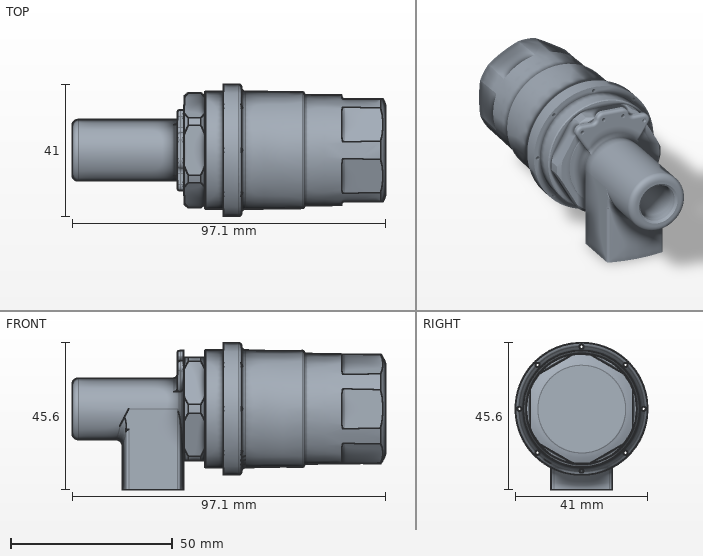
import cadquery as cq
import math

block_front = 15.5
collar_front = 34.5
nut_front = 34.8
ring_front = 41.0
flange_front = 46.8
flange_back = 52.4
shoulder_start = 71.2
flat_start = 83.5
overall_length = 97.1

tube_radius = 19.0 / 2
tube_rim_round = 1.9
bore_diameter = 11.8
bore_chamfer = 0.7
collar_radius = 28.0 / 2
root_flare = 1.5
block_flare = 1.9
block_flare_side_z = -7.6

block_bottom = -25.1
block_bulge = 1.0
block_corner = 1.0
block_middle = (block_front + collar_front) / 2

plate_front = 32.5
plate_flare = 1.2
plate_edge_round = 0.9
plate_foot_z = 3.9
wire_hole_diameter = 1.3
inner_lug_y, inner_lug_z, inner_lug_radius = 3.3, 15.8, 2.2
outer_lug_y, outer_lug_z, outer_lug_radius = 10.6, 12.9, 1.9
step_start_y = 7.1
side_lean = 33.0

nut_across_flats = 32.0
nut_corner_radius = 17.8
nut_chamfer_length = 1.2
nut_chamfer_depth = 1.0

ring_radius = 36.5 / 2
ring_chamfer = 0.3
flange_radius = 41.0 / 2
flange_round = 1.1
flange_fillet = 1.1
shoulder_radius = 18.1
shoulder_round = 0.6
grip_radius = 17.2
grip_end_radius = 17.0
end_round_length = 1.65
end_round_bulge = 0.2
end_face_radius = 13.6
flange_hole_count = 8
flange_hole_circle_radius = 19.2
flat_count = 6
flat_distance = 15.9
flat_wall_round = 0.5

diagonal = math.sqrt(0.5)


def turned(profile):
    """Revolve a profile, drawn as (x, radius), about the X axis."""
    return profile.close().revolve(360, (0, 0, 0), (1, 0, 0))


def x_cylinder(start, end, radius):
    return cq.Workplane("YZ", origin=(start, 0, 0)).circle(radius).extrude(end - start)


def flare(face_x, size):
    """Trumpet-shaped ring that blends the tube into a face square to X."""
    return turned(
        cq.Workplane("XY")
        .moveTo(face_x - size, tube_radius - size)
        .lineTo(face_x - size, tube_radius)
        .threePointArc(
            (face_x - size + size * diagonal, tube_radius + size - size * diagonal),
            (face_x, tube_radius + size),
        )
        .lineTo(face_x, tube_radius - size)
    )


def block_flare_shape():
    """Concave round between the tube and the bulged front of the block, below the axis."""
    half_chord = tube_radius - block_corner
    bulge_radius = (half_chord**2 + block_bulge**2) / (2 * block_bulge)
    reach = tube_radius + block_flare
    drum = (
        cq.Workplane("XY", origin=(block_front + bulge_radius, 0, -2 * reach))
        .circle(bulge_radius)
        .extrude(4 * reach)
    )
    joint = cq.selectors.BoxSelector(
        (block_front - block_flare, -reach, -reach), (block_middle, reach, reach), boundingbox=True
    )
    flared = x_cylinder(0, block_middle, tube_radius).union(drum).edges(joint).fillet(block_flare)
    zone = (
        cq.Workplane("XZ", origin=(0, tube_radius, 0))
        .moveTo(block_front + block_bulge + block_corner, 0)
        .lineTo(block_front - block_flare, block_flare_side_z)
        .lineTo(block_front - block_flare, -reach)
        .lineTo(block_front + block_bulge + block_corner, -reach)
        .close()
        .extrude(2 * tube_radius)
    )
    return flared.intersect(zone).intersect(x_cylinder(0, block_middle, reach))


def block_outline():
    """Plan of the outlet block: flat sides, bulged front and back, rounded corners."""
    side = tube_radius
    bulge_y = side - block_corner
    half_length = (collar_front - block_front) / 2
    bulge_edge = half_length - block_bulge
    side_end = bulge_edge - block_corner
    corner_x = side_end + block_corner * diagonal
    corner_y = bulge_y + block_corner * diagonal
    return (
        cq.Workplane("XY", origin=(block_middle, 0, 0))
        .moveTo(-side_end, side)
        .lineTo(side_end, side)
        .threePointArc((corner_x, corner_y), (bulge_edge, bulge_y))
        .threePointArc((half_length, 0), (bulge_edge, -bulge_y))
        .threePointArc((corner_x, -corner_y), (side_end, -side))
        .lineTo(-side_end, -side)
        .threePointArc((-corner_x, -corner_y), (-bulge_edge, -bulge_y))
        .threePointArc((-half_length, 0), (-bulge_edge, bulge_y))
        .threePointArc((-corner_x, corner_y), (-side_end, side))
        .close()
    )


def point_on_arc(center_y, center_z, radius, angle):
    return (center_y + radius * math.cos(angle), center_z + radius * math.sin(angle))


def plate_outline(start_x):
    """Fan-shaped outline of the lug plate, symmetric about y = 0."""
    lean = math.radians(side_lean)
    top_z = inner_lug_z + inner_lug_radius
    step_z = outer_lug_z + outer_lug_radius

    run = step_start_y - inner_lug_y
    drop = inner_lug_z - step_z
    hollow_radius = (run**2 + drop**2 - inner_lug_radius**2) / (2 * (inner_lug_radius + drop))
    hollow_z = step_z + hollow_radius
    tangent_angle = math.atan2(hollow_z - inner_lug_z, run)
    lug_middle_angle = (tangent_angle + math.pi / 2) / 2
    hollow_middle_angle = (tangent_angle + math.pi + 1.5 * math.pi) / 2

    inner_middle = point_on_arc(inner_lug_y, inner_lug_z, inner_lug_radius, lug_middle_angle)
    inner_end = point_on_arc(inner_lug_y, inner_lug_z, inner_lug_radius, tangent_angle)
    hollow_middle = point_on_arc(step_start_y, hollow_z, hollow_radius, hollow_middle_angle)
    outer_middle = point_on_arc(outer_lug_y, outer_lug_z, outer_lug_radius, (math.pi / 2 - lean) / 2)
    side_top = point_on_arc(outer_lug_y, outer_lug_z, outer_lug_radius, -lean)
    foot_y = side_top[0] - (side_top[1] - plate_foot_z) * math.tan(lean)

    def mirrored(point):
        return (-point[0], point[1])

    return (
        cq.Workplane("YZ", origin=(start_x, 0, 0))
        .moveTo(-inner_lug_y, top_z)
        .lineTo(inner_lug_y, top_z)
        .threePointArc(inner_middle, inner_end)
        .threePointArc(hollow_middle, (step_start_y, step_z))
        .lineTo(outer_lug_y, step_z)
        .threePointArc(outer_middle, side_top)
        .lineTo(foot_y, plate_foot_z)
        .lineTo(-foot_y, plate_foot_z)
        .lineTo(*mirrored(side_top))
        .threePointArc(mirrored(outer_middle), (-outer_lug_y, step_z))
        .lineTo(-step_start_y, step_z)
        .threePointArc(mirrored(hollow_middle), mirrored(inner_end))
        .threePointArc(mirrored(inner_middle), (-inner_lug_y, top_z))
        .close()
    )


def make_lug_plate():
    thickness = collar_front - plate_front
    plate = plate_outline(plate_front).extrude(thickness).faces("<X").edges().fillet(plate_edge_round)
    hole_places = [
        (side * y, z)
        for side in (-1, 1)
        for y, z in ((inner_lug_y, inner_lug_z), (outer_lug_y, outer_lug_z))
    ]
    holes = (
        cq.Workplane("YZ", origin=(plate_front, 0, 0))
        .pushPoints(hole_places)
        .circle(wire_hole_diameter / 2)
        .extrude(thickness)
    )
    root = flare(plate_front, plate_flare)
    root = root.intersect(plate_outline(plate_front - plate_flare).extrude(plate_flare))
    return plate.cut(holes).union(root)


def make_spigot():
    """Hose spigot with its collar, outlet block and lug plate."""
    tube = x_cylinder(0, collar_front, tube_radius).faces("<X").edges().fillet(tube_rim_round)
    block = block_outline().extrude(block_bottom)
    spigot = tube.union(block).union(block_flare_shape())
    collar = x_cylinder(collar_front, nut_front, collar_radius)
    spigot = spigot.union(collar).union(flare(collar_front, root_flare)).union(make_lug_plate())
    bore = x_cylinder(0, block_middle, bore_diameter / 2)
    spigot = spigot.cut(bore)
    bore_rim = cq.selectors.RadiusNthSelector(0)
    return spigot.faces("<X").edges(bore_rim).chamfer(bore_chamfer)


def make_nut():
    """Hexagon nut with flats facing up and down and both ends chamfered."""
    length = ring_front - nut_front
    corner_diameter = nut_across_flats / math.cos(math.pi / 6)
    hexagon = cq.Workplane("YZ", origin=(nut_front, 0, 0)).polygon(6, corner_diameter).extrude(length)
    turned_blank = (
        x_cylinder(nut_front, ring_front, nut_corner_radius)
        .faces("<X or >X")
        .edges()
        .chamfer(nut_chamfer_length, nut_chamfer_depth)
    )
    return hexagon.intersect(turned_blank)


def housing_blank():
    """Housing as turned, before the holes and wrench flats are cut."""
    flange_fillet_end = flange_back + flange_fillet
    grip_start = shoulder_start + 2 * shoulder_round
    round_start = overall_length - end_round_length
    shoulder_step = shoulder_round * diagonal
    shoulder_middle = (shoulder_start + shoulder_round, (shoulder_radius + grip_radius) / 2)
    shoulder_drop = (shoulder_radius - grip_radius) / 2
    drop_step = shoulder_drop * diagonal
    end_drop = grip_end_radius - end_face_radius
    end_chord = math.hypot(end_round_length, end_drop)
    return turned(
        cq.Workplane("XY")
        .moveTo(ring_front, 0)
        .lineTo(ring_front, ring_radius - ring_chamfer)
        .lineTo(ring_front + ring_chamfer, ring_radius)
        .lineTo(flange_front, ring_radius)
        .lineTo(flange_front, flange_radius)
        .lineTo(flange_back - flange_round, flange_radius)
        .threePointArc(
            (flange_back - flange_round * (1 - diagonal), flange_radius - flange_round * (1 - diagonal)),
            (flange_back, flange_radius - flange_round),
        )
        .lineTo(flange_back, ring_radius + flange_fillet)
        .threePointArc(
            (flange_fillet_end - flange_fillet * diagonal, ring_radius + flange_fillet * (1 - diagonal)),
            (flange_fillet_end, ring_radius),
        )
        .lineTo(shoulder_start, shoulder_radius)
        .threePointArc(
            (shoulder_start + shoulder_step, shoulder_radius - shoulder_drop + drop_step), shoulder_middle
        )
        .threePointArc(
            (grip_start - shoulder_step, grip_radius + shoulder_drop - drop_step), (grip_start, grip_radius)
        )
        .lineTo(round_start, grip_end_radius)
        .threePointArc(
            (
                round_start + end_round_length / 2 + end_round_bulge * end_drop / end_chord,
                grip_end_radius - end_drop / 2 + end_round_bulge * end_round_length / end_chord,
            ),
            (overall_length, end_face_radius),
        )
        .lineTo(overall_length, 0)
    )


def flat_cutter():
    """Block that cuts one wrench flat, on the +Y side."""
    depth = flange_radius - flat_distance
    return (
        cq.Workplane("XY")
        .box(overall_length - flat_start, depth, 2 * flange_radius, centered=(False, False, True))
        .edges("<X and <Y")
        .fillet(flat_wall_round)
        .translate((flat_start, flat_distance, 0))
    )


def make_housing():
    """Housing: spigot-side ring, drilled flange, sleeve, and grip with wrench flats."""
    housing = housing_blank()
    flange_holes = (
        cq.Workplane("YZ", origin=(flange_front, 0, 0))
        .polarArray(flange_hole_circle_radius, 0, 360, flange_hole_count)
        .circle(wire_hole_diameter / 2)
        .extrude(flange_back + flange_fillet - flange_front)
    )
    housing = housing.cut(flange_holes)
    cutter = flat_cutter()
    for index in range(flat_count):
        housing = housing.cut(cutter.rotate((0, 0, 0), (1, 0, 0), index * 360 / flat_count))
    return housing


spigot = make_spigot()
nut = make_nut()
housing = make_housing()

result = cq.Compound.makeCompound([spigot.solids().val(), nut.solids().val(), housing.solids().val()])